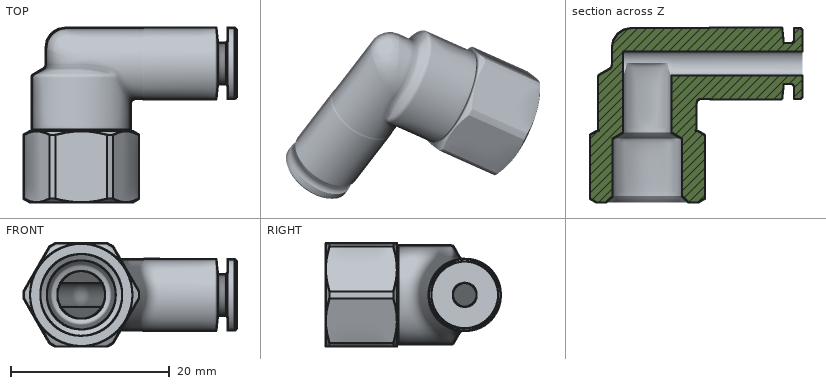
import cadquery as cq
import math


overall_length_x = 26.85
overall_length_y = 22.05
collar_radius = 4.55

hex_sides = 6
hex_flats = 13.0
hex_corner_radius = 7.265
hex_length = 9.0
hex_end_y = collar_radius - overall_length_y
hex_top_y = hex_end_y + hex_length
hex_crown_radius = 6.435
hex_crown_angle = 30.0
hex_crown_height = (hex_corner_radius - hex_crown_radius) * math.tan(math.radians(hex_crown_angle))

body_radius = 6.25
body_foot_chamfer = 0.2
shoulder_angle = 30.0
shoulder_root_y = -0.5
shoulder_fillet = 0.5

mouth_radius = 5.15
thread_radius = 4.34
mouth_depth = 0.8
thread_depth = 8.0
drill_point_angle = 118.0
passage_radius = 3.0

arm_radius = 4.5
corner_radius = 2.56
corner_sections = 5

collar_start_x = 7.95
collar_end_x = 17.0
collar_lead_in = 0.2
collar_edge_fillet = 0.2
neck_radius = 2.625
neck_start_x = 17.2
neck_flare_radius = 2.8
neck_flare_length = 0.2
neck_overlap = 1.0
ring_start_x = 18.4
ring_end_x = overall_length_x - hex_corner_radius
ring_radius = 4.5
ring_chamfer = 0.3
tube_bore_radius = 1.5

tolerance = 1e-3


def revolve_about_y(points):
    """Turn (radius, y) points into a solid around the Y axis."""
    return cq.Workplane("XY").polyline(points).close().revolve(360, (0, 0, 0), (0, 1, 0))


def revolve_about_x(points):
    """Turn (x, radius) points into a solid around the X axis."""
    return cq.Workplane("XY").polyline(points).close().revolve(360, (0, 0, 0), (1, 0, 0))


def make_arms():
    """Two equal cylinders, cut back to the planes where the rounded corner starts."""
    cut_size = 4 * arm_radius
    cut_angle = math.degrees(math.atan2(arm_radius - corner_radius, arm_radius))
    x_arm = (
        cq.Workplane("YZ")
        .workplane(offset=-arm_radius)
        .circle(arm_radius)
        .extrude(collar_start_x - collar_lead_in + arm_radius)
    )
    y_arm = (
        cq.Workplane("XZ")
        .workplane(offset=-arm_radius)
        .circle(arm_radius)
        .extrude(arm_radius - hex_top_y)
    )
    left_block = cq.Workplane("XY").box(cut_size, cut_size, cut_size).translate((-cut_size / 2, 0, 0))
    upper_block = cq.Workplane("XY").box(cut_size, cut_size, cut_size).translate((0, cut_size / 2, 0))
    x_arm = x_arm.cut(left_block.rotate((0, 0, 0), (0, 0, 1), cut_angle))
    y_arm = y_arm.cut(upper_block.rotate((0, 0, 0), (0, 0, 1), -cut_angle))
    return x_arm.union(y_arm)


def make_corner():
    """Rounded outer corner, made of half ellipses that share the Z axis as their chord."""
    inset = arm_radius - corner_radius
    rims = []
    for i in range(corner_sections):
        angle = math.radians(90 + 90 * i / (corner_sections - 1))
        x = -inset + corner_radius * math.cos(angle)
        y = inset + corner_radius * math.sin(angle)
        rims.append(
            cq.Edge.makeEllipse(
                math.hypot(x, y),
                arm_radius,
                pnt=(0, 0, 0),
                dir=(y, -x, 0),
                xdir=(x, y, 0),
                angle1=-90,
                angle2=90,
            )
        )
    chord = cq.Edge.makeLine((0, 0, -arm_radius), (0, 0, arm_radius))
    skin = cq.occ_impl.shapes.loft(*rims)
    sides = [cq.Face.makeFromWires(cq.Wire.assembleEdges([rim, chord])) for rim in (rims[0], rims[-1])]
    return cq.occ_impl.shapes.solid(skin, *sides)


def make_body():
    """Round body with a chamfered foot and a rounded conical shoulder."""
    shoulder_y = shoulder_root_y - (body_radius - arm_radius) * math.tan(math.radians(shoulder_angle))
    profile = [
        (0, hex_top_y),
        (body_radius - body_foot_chamfer, hex_top_y),
        (body_radius, hex_top_y + body_foot_chamfer),
        (body_radius, shoulder_y),
        (arm_radius, shoulder_root_y),
        (0, shoulder_root_y),
    ]
    body = revolve_about_y(profile)
    shoulder_rim = body.edges("%CIRCLE").filter(lambda edge: abs(edge.Center().y - shoulder_y) < tolerance)
    return shoulder_rim.fillet(shoulder_fillet)


def make_hexagon():
    """Hexagon with turned corners and a conical crown at each end."""
    prism = (
        cq.Workplane("XZ")
        .workplane(offset=-hex_top_y)
        .polygon(hex_sides, hex_flats / math.cos(math.pi / hex_sides))
        .extrude(hex_length)
    )
    envelope = revolve_about_y(
        [
            (0, hex_end_y),
            (hex_crown_radius, hex_end_y),
            (hex_corner_radius, hex_end_y + hex_crown_height),
            (hex_corner_radius, hex_top_y - hex_crown_height),
            (hex_crown_radius, hex_top_y),
            (0, hex_top_y),
        ]
    )
    return prism.intersect(envelope)


def make_tube_end():
    """Collar, neck and release ring."""
    collar = revolve_about_x(
        [
            (collar_start_x - collar_lead_in, 0),
            (collar_start_x - collar_lead_in, arm_radius),
            (collar_start_x, collar_radius),
            (collar_end_x, collar_radius),
            (neck_start_x, neck_radius),
            (neck_start_x, 0),
        ]
    )
    rim = collar.edges("%CIRCLE").filter(lambda edge: abs(edge.Center().x - collar_end_x) < tolerance)
    collar = rim.fillet(collar_edge_fillet)
    ring = revolve_about_x(
        [
            (neck_start_x - neck_overlap, 0),
            (neck_start_x - neck_overlap, neck_radius),
            (ring_start_x - neck_flare_length, neck_radius),
            (ring_start_x, neck_flare_radius),
            (ring_start_x, ring_radius),
            (ring_end_x - ring_chamfer, ring_radius),
            (ring_end_x, ring_radius - ring_chamfer),
            (ring_end_x, 0),
        ]
    )
    return collar.union(ring)


def touches_shoulder_seam(edge):
    """True for an edge where an elbow arm runs into the body."""
    middle = edge.positionAt(0.5)
    off_x_arm = abs(math.hypot(middle.y, middle.z) - arm_radius)
    off_y_arm = abs(math.hypot(middle.x, middle.z) - arm_radius)
    is_on_body = middle.y < shoulder_root_y + tolerance and middle.x < body_radius + tolerance
    return is_on_body and min(off_x_arm, off_y_arm) < tolerance


def make_socket_bore():
    """Countersunk mouth, thread bore with a conical bottom, and the passage up to the tube axis."""
    thread_bottom_y = hex_end_y + thread_depth
    cone_height = (thread_radius - passage_radius) / math.tan(math.radians(drill_point_angle / 2))
    return revolve_about_y(
        [
            (0, hex_end_y),
            (mouth_radius, hex_end_y),
            (thread_radius, hex_end_y + mouth_depth),
            (thread_radius, thread_bottom_y),
            (passage_radius, thread_bottom_y + cone_height),
            (passage_radius, 0),
            (0, 0),
        ]
    )


def make_tube_bore():
    """Bore along the tube axis, from the far wall of the passage out through the release ring."""
    return (
        cq.Workplane("YZ")
        .workplane(offset=-passage_radius)
        .circle(tube_bore_radius)
        .extrude(ring_end_x + passage_radius)
    )


elbow = make_arms().union(cq.Workplane(make_corner())).union(make_body())
elbow = elbow.edges().filter(touches_shoulder_seam).fillet(shoulder_fillet)
result = elbow.union(make_hexagon()).union(make_tube_end())
result = result.cut(make_socket_bore()).cut(make_tube_bore())